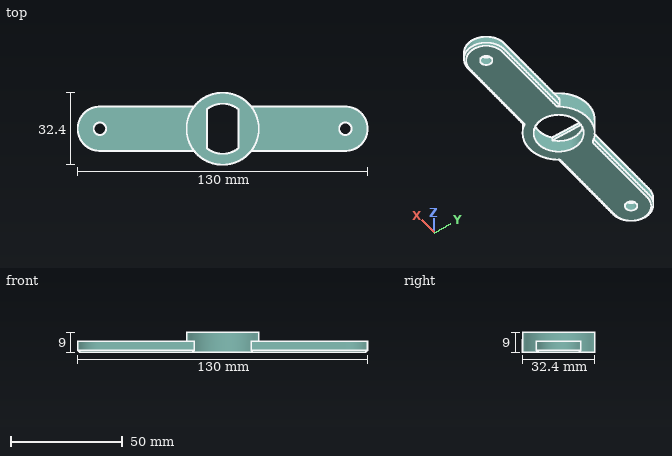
import cadquery as cq

overall_length = 130.0
arm_width = 20.0
arm_thickness = 5.0
end_radius = arm_width / 2

bevel = 1.0

screw_hole_diameter = 5.5
screw_hole_offset = overall_length / 2 - end_radius

hub_height = 9.0
hub_wall = 5.0
bore_diameter = 22.4
opening_across_flats = 14.0
flat_depth = 2.0
hub_diameter = bore_diameter + 2 * hub_wall


def make_arm():
    """Round-ended bar with a bevelled bottom edge."""
    bar = cq.Workplane("XY").slot2D(overall_length, arm_width).extrude(arm_thickness)
    return bar.faces("<Z").chamfer(bevel)


def make_hub():
    """Plain round hub standing on the same base plane as the arm."""
    return cq.Workplane("XY").circle(hub_diameter / 2).extrude(hub_height)


def make_opening():
    """Cutter for the hub: a round bore, with flats facing +X and -X in its top layer."""
    full_bore = cq.Workplane("XY").circle(bore_diameter / 2).extrude(hub_height)
    flats_gap = cq.Workplane("XY").rect(opening_across_flats, bore_diameter).extrude(hub_height)
    round_bore = cq.Workplane("XY").circle(bore_diameter / 2).extrude(hub_height - flat_depth)
    return full_bore.intersect(flats_gap).union(round_bore)


def make_screw_holes():
    """Cutter for the two through holes in the arm ends."""
    centers = [(-screw_hole_offset, 0), (screw_hole_offset, 0)]
    return cq.Workplane("XY").pushPoints(centers).circle(screw_hole_diameter / 2).extrude(arm_thickness)


result = make_arm().union(make_hub()).cut(make_opening()).cut(make_screw_holes())